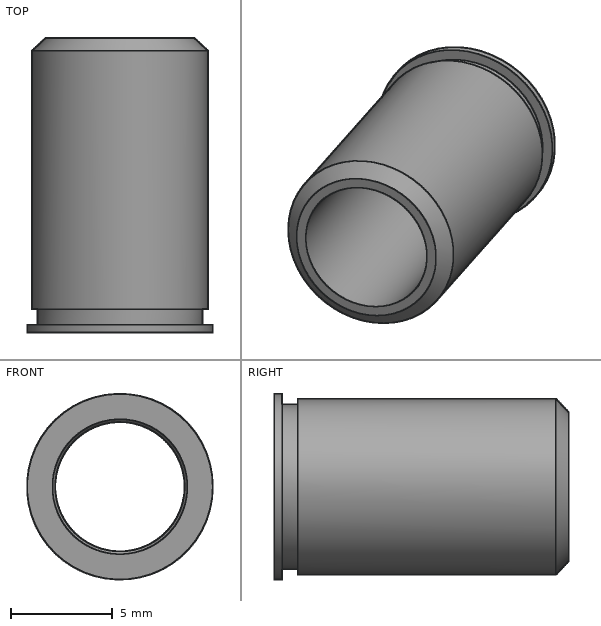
import cadquery as cq

length = 14.48
flange_diameter = 9.14
body_diameter = 8.66
groove_diameter = 8.12
bore_diameter = 6.34

flange_thickness = 0.39
groove_width = 0.77
nose_length = 0.64
nose_radial_drop = 0.68
bore_chamfer_depth = 0.26
bore_chamfer_width = 0.15

front = -length / 2
back = length / 2
groove_start = front + flange_thickness
body_start = groove_start + groove_width
nose_start = back - nose_length

flange_radius = flange_diameter / 2
body_radius = body_diameter / 2
groove_radius = groove_diameter / 2
bore_radius = bore_diameter / 2
nose_radius = body_radius - nose_radial_drop

wall_section = [
    (bore_radius + bore_chamfer_width, front),
    (flange_radius, front),
    (flange_radius, groove_start),
    (groove_radius, groove_start),
    (groove_radius, body_start),
    (body_radius, body_start),
    (body_radius, nose_start),
    (nose_radius, back),
    (bore_radius, back),
    (bore_radius, front + bore_chamfer_depth),
]

result = cq.Workplane("XY").polyline(wall_section).close().revolve(360, (0, 0, 0), (0, 1, 0))